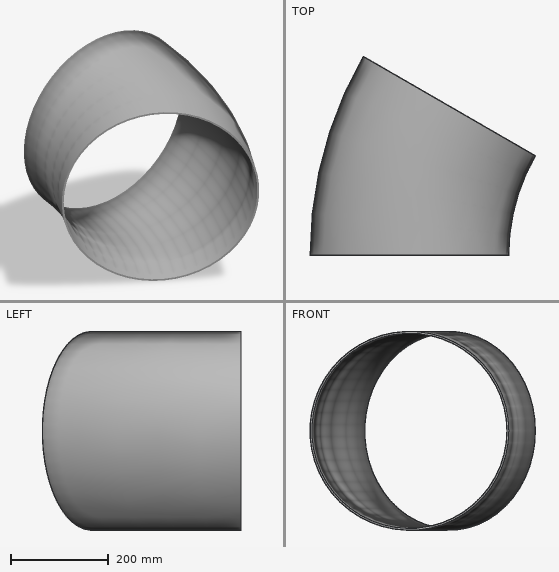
import cadquery as cq
import math

overall_width = 461.0
bend_angle = 30.0
bend_radius_ratio = 1.5
wall_thickness = 4.0

inner_bend_ratio = bend_radius_ratio - 0.5
outer_bend_ratio = bend_radius_ratio + 0.5
width_ratio = outer_bend_ratio - inner_bend_ratio * math.cos(math.radians(bend_angle))

outer_diameter = overall_width / width_ratio
outer_radius = outer_diameter / 2
inner_radius = outer_radius - wall_thickness
bend_radius = bend_radius_ratio * outer_diameter

bend_axis_start = (bend_radius, 0)
bend_axis_end = (bend_radius, -1)

result = (
    cq.Workplane("XZ")
    .circle(outer_radius)
    .circle(inner_radius)
    .revolve(bend_angle, bend_axis_start, bend_axis_end)
)